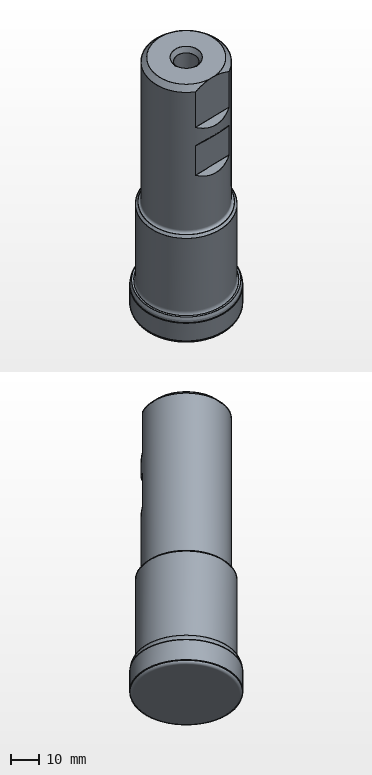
import cadquery as cq
import math

total_length = 120.0
shank_diameter = 32.0
collar_diameter = 36.0

shank_chamfer = 2.0
shank_foot_fillet = 1.1
collar_top = 50.0
collar_chamfer = 1.0
collar_foot_fillet = 2.0
collar_foot_height = 1.5

head_height = 12.2
head_diameter = 40.1
head_rim_diameter = 38.6
top_bevel_diameter = 39.6
top_bevel_bottom = 11.2
band_top_diameter = 39.7
band_top = 10.9
band_bottom_diameter = 39.8
band_bottom = 10.1
edge_step_height = 0.2
bottom_fillet = 1.1

flat_offset = 13.9
flat_depth = shank_diameter / 2 - flat_offset
upper_flat_bottom = 100.7
lower_flat_top = 91.8
lower_flat_bottom = 77.5

hole_diameter = 9.0
hole_mouth_diameter = 11.4
hole_depth = 12.0
drill_point_angle = 118.0
countersink_angle = 60.0


def revolve_profile(profile):
    """Turn a closed half profile, drawn in X and Z, around the Z axis."""
    return profile.close().revolve(360, (0, 0, 0), (0, 1, 0))


def foot_arc_offset(radius, height):
    """Distance of a foot fillet from its cylinder, this far below the tangent point."""
    return radius - math.sqrt(radius**2 - height**2)


def make_turned_blank():
    """Revolved shank and collar, with an open fillet where the collar meets the head."""
    shank_radius = shank_diameter / 2
    collar_radius = collar_diameter / 2
    foot_radius = collar_radius + foot_arc_offset(collar_foot_fillet, collar_foot_height)
    middle_height = collar_foot_height / 2
    middle_radius = collar_radius + foot_arc_offset(collar_foot_fillet, middle_height)
    arc_inset = shank_foot_fillet * (1 - math.sqrt(0.5))
    return revolve_profile(
        cq.Workplane("XZ")
        .moveTo(0, head_height)
        .lineTo(foot_radius, head_height)
        .threePointArc(
            (middle_radius, head_height + collar_foot_height - middle_height),
            (collar_radius, head_height + collar_foot_height),
        )
        .lineTo(collar_radius, collar_top - collar_chamfer)
        .lineTo(collar_radius - collar_chamfer, collar_top)
        .lineTo(shank_radius + shank_foot_fillet, collar_top)
        .threePointArc(
            (shank_radius + arc_inset, collar_top + arc_inset),
            (shank_radius, collar_top + shank_foot_fillet),
        )
        .lineTo(shank_radius, total_length - shank_chamfer)
        .lineTo(shank_radius - shank_chamfer, total_length)
        .lineTo(0, total_length)
    )


def make_center_hole():
    """Countersunk blind hole with a conical drill point."""
    hole_radius = hole_diameter / 2
    mouth_radius = hole_mouth_diameter / 2
    hole_bottom = total_length - hole_depth
    countersink_depth = (mouth_radius - hole_radius) / math.tan(math.radians(countersink_angle / 2))
    point_depth = hole_radius / math.tan(math.radians(drill_point_angle / 2))
    return revolve_profile(
        cq.Workplane("XZ")
        .moveTo(0, hole_bottom - point_depth)
        .lineTo(hole_radius, hole_bottom)
        .lineTo(hole_radius, total_length - countersink_depth)
        .lineTo(mouth_radius, total_length)
        .lineTo(0, total_length)
    )


def make_flat_cutters():
    """Two flats with 45 degree ends; the upper one runs out of the shank end."""
    shank_radius = shank_diameter / 2
    upper = (
        cq.Workplane("XZ")
        .moveTo(flat_offset, upper_flat_bottom)
        .lineTo(shank_radius, upper_flat_bottom - flat_depth)
        .lineTo(shank_radius, total_length)
        .lineTo(flat_offset, total_length)
        .close()
        .extrude(shank_radius, both=True)
    )
    lower = (
        cq.Workplane("XZ")
        .moveTo(flat_offset, lower_flat_bottom)
        .lineTo(shank_radius, lower_flat_bottom - flat_depth)
        .lineTo(shank_radius, lower_flat_top + flat_depth)
        .lineTo(flat_offset, lower_flat_top)
        .close()
        .extrude(shank_radius, both=True)
    )
    return upper.union(lower)


def make_arbor():
    """Turned blank with its center hole and clamping flats."""
    return make_turned_blank().cut(make_center_hole()).cut(make_flat_cutters())


def make_head():
    """Disc under the collar, with a beveled top, a narrow band and a rounded bottom edge."""
    head_radius = head_diameter / 2
    band_bottom_radius = band_bottom_diameter / 2
    arc_inset = bottom_fillet * (1 - math.sqrt(0.5))
    return revolve_profile(
        cq.Workplane("XZ")
        .moveTo(0, 0)
        .lineTo(band_bottom_radius - bottom_fillet, 0)
        .threePointArc(
            (band_bottom_radius - arc_inset, arc_inset),
            (band_bottom_radius, bottom_fillet),
        )
        .lineTo(head_radius, bottom_fillet + edge_step_height)
        .lineTo(head_radius, band_bottom - edge_step_height)
        .lineTo(band_bottom_radius, band_bottom)
        .lineTo(band_top_diameter / 2, band_top)
        .lineTo(top_bevel_diameter / 2, top_bevel_bottom)
        .lineTo(head_rim_diameter / 2, head_height)
        .lineTo(0, head_height)
    )


arbor = make_arbor()
head = make_head()
result = cq.Compound.makeCompound([arbor.val(), head.val()])